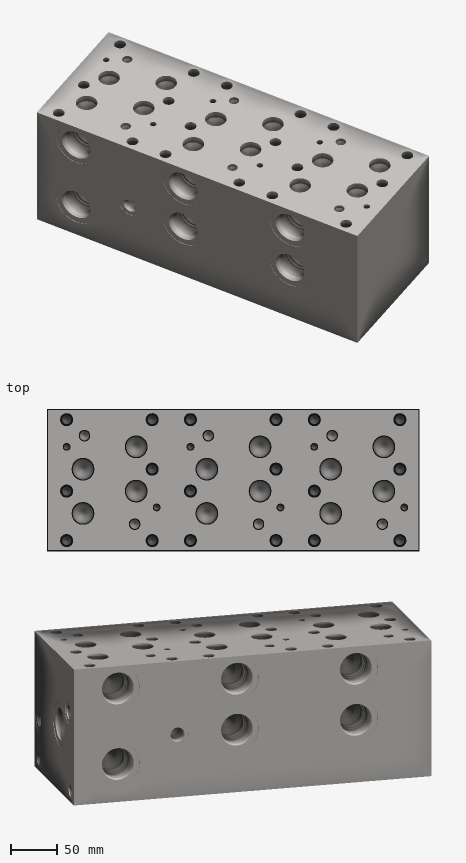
import cadquery as cq
import math

LENGTH = 400.0
WIDTH = 152.5
HEIGHT = 152.5

POINT_ANGLE = 118.0

STATIONS = 3
STATION_PITCH = 133.2
BOLT_SPAN_X = 92.0
FIRST_BOLT_X = (LENGTH - (STATIONS - 1) * STATION_PITCH - BOLT_SPAN_X) / 2
BOLT_SPAN_Y = 130.0
FIRST_BOLT_Y = (WIDTH - BOLT_SPAN_Y) / 2
INNER_NEAR_Y = 53.2
INNER_FAR_Y = BOLT_SPAN_Y - INNER_NEAR_Y
BOLT_OFFSETS = [
    (0, 0),
    (0, INNER_NEAR_Y),
    (0, BOLT_SPAN_Y),
    (BOLT_SPAN_X, 0),
    (BOLT_SPAN_X, INNER_FAR_Y),
    (BOLT_SPAN_X, BOLT_SPAN_Y),
]
FLOW_DIAMETER = 23.2
FLOW_DEPTH = 7.5
FLOW_OFFSETS = [(17.5, 29.2), (17.5, INNER_FAR_Y), (75.0, INNER_NEAR_Y), (75.0, 101.0)]
PILOT_DIAMETER = 11.2
PILOT_DEPTH = 3.5
PILOT_OFFSETS = [(19.2, 113.0), (73.2, 17.5)]
PIN_DIAMETER = 7.2
PIN_DEPTH = 8.0
PIN_OFFSETS = [(0, 101.0), (97.0, 35.5)]

BOLT_THREAD_DIAMETER = 13.0
BOLT_CORE_DIAMETER = 11.0
BOLT_THREAD_DEPTH = 24.0
BOLT_CORE_DEPTH = 28.0
END_BOLT_Z = 13.0
END_BOLT_YS = [14.0, 138.0]

SPOTFACE_DEPTH = 0.5
LARGE_SPOTFACE = 49.2
LARGE_SEAT = 35.5
LARGE_THREAD = 33.2
LARGE_CORE = 31.2
LARGE_DRILL = 28.5
LARGE_SEAT_DEPTH = 3.5
LARGE_THREAD_DEPTH = 20.0
LARGE_CORE_DEPTH = 23.2
LARGE_DRILL_DEPTH = 32.0
TAPER_DIAMETER = 17.0
TAPER_ANGLE = 32.0

SMALL_SPOTFACE = 25.2
SMALL_SEAT = 15.5
SMALL_THREAD = 14.5
SMALL_DRILL = 12.5
SMALL_SEAT_DEPTH = 3.0
SMALL_THREAD_DEPTH = 13.0
SMALL_DRILL_DEPTH = 20.0

FIRST_PORT_X = 49.2
PORT_XS = [FIRST_PORT_X + i * STATION_PITCH for i in range(STATIONS)]
UPPER_PORT_Z = 127.2
MIDDLE_PORT_Z = 70.0
LOWER_PORT_Z = 42.5
GAUGE_PORT_X = 116.0
PRESSURE_PORT = (55.5, 76.0)
PILOT_PORTS = [(22.5, 99.0), (136.5, 57.2)]


def point_length(diameter, angle=POINT_ANGLE):
    """Length of a conical point from its diameter and included angle."""
    return diameter / 2 / math.tan(math.radians(angle / 2))


def bore(profile, end_angle=POINT_ANGLE):
    """Revolved cutter from (diameter, depth) corners, closed by a conical point."""
    last_diameter, last_depth = profile[-1]
    corners = [(diameter / 2, depth) for diameter, depth in profile]
    tip = (0, last_depth + point_length(last_diameter, end_angle))
    outline = cq.Workplane("XZ").polyline([(0, 0)] + corners + [tip]).close()
    return outline.revolve(360, (0, 0), (0, 1)).val()


def drilled(diameter, depth):
    return bore([(diameter, 0), (diameter, depth)])


def tapped_hole():
    return bore([
        (BOLT_THREAD_DIAMETER, 0),
        (BOLT_THREAD_DIAMETER, BOLT_THREAD_DEPTH),
        (BOLT_CORE_DIAMETER, BOLT_THREAD_DEPTH),
        (BOLT_CORE_DIAMETER, BOLT_CORE_DEPTH),
    ])


def large_port(with_taper):
    profile = [
        (LARGE_SPOTFACE, 0),
        (LARGE_SPOTFACE, SPOTFACE_DEPTH),
        (LARGE_SEAT, SPOTFACE_DEPTH),
        (LARGE_THREAD, LARGE_SEAT_DEPTH),
        (LARGE_THREAD, LARGE_THREAD_DEPTH),
        (LARGE_CORE, LARGE_THREAD_DEPTH),
        (LARGE_CORE, LARGE_CORE_DEPTH),
        (LARGE_DRILL, LARGE_CORE_DEPTH),
        (LARGE_DRILL, LARGE_DRILL_DEPTH),
    ]
    if with_taper:
        taper_start = LARGE_DRILL_DEPTH + point_length(LARGE_DRILL - TAPER_DIAMETER)
        profile.append((TAPER_DIAMETER, taper_start))
        return bore(profile, TAPER_ANGLE)
    return bore(profile)


def small_port():
    return bore([
        (SMALL_SPOTFACE, 0),
        (SMALL_SPOTFACE, SPOTFACE_DEPTH),
        (SMALL_SEAT, SPOTFACE_DEPTH),
        (SMALL_THREAD, SMALL_SEAT_DEPTH),
        (SMALL_THREAD, SMALL_THREAD_DEPTH),
        (SMALL_DRILL, SMALL_THREAD_DEPTH),
        (SMALL_DRILL, SMALL_DRILL_DEPTH),
    ])


def into_face(cutter, origin, inward):
    """Place a cutter with its mouth at origin, pointing along inward."""
    return cutter.moved(cq.Location(cq.Plane(origin=origin, normal=inward)))


def into_top(cutter, x, y):
    return into_face(cutter, (x, y, HEIGHT), (0, 0, -1))


def into_front(cutter, x, z):
    return into_face(cutter, (x, 0, z), (0, 1, 0))


def into_left_end(cutter, y, z):
    return into_face(cutter, (0, y, z), (1, 0, 0))


def top_cutters():
    hole_kinds = [
        (tapped_hole(), BOLT_OFFSETS),
        (drilled(FLOW_DIAMETER, FLOW_DEPTH), FLOW_OFFSETS),
        (drilled(PILOT_DIAMETER, PILOT_DEPTH), PILOT_OFFSETS),
        (drilled(PIN_DIAMETER, PIN_DEPTH), PIN_OFFSETS),
    ]
    return [
        into_top(cutter, FIRST_BOLT_X + station * STATION_PITCH + dx, FIRST_BOLT_Y + dy)
        for station in range(STATIONS)
        for cutter, offsets in hole_kinds
        for dx, dy in offsets
    ]


def front_cutters():
    tapered = large_port(with_taper=True)
    cutters = [
        into_front(large_port(with_taper=False), PORT_XS[0], UPPER_PORT_Z),
        into_front(tapered, PORT_XS[0], LOWER_PORT_Z),
        into_front(small_port(), GAUGE_PORT_X, MIDDLE_PORT_Z),
    ]
    for x in PORT_XS[1:]:
        cutters.append(into_front(tapered, x, UPPER_PORT_Z))
        cutters.append(into_front(tapered, x, MIDDLE_PORT_Z))
    return cutters


def left_end_cutters():
    cutters = [into_left_end(large_port(with_taper=False), *PRESSURE_PORT)]
    cutters += [into_left_end(small_port(), y, z) for y, z in PILOT_PORTS]
    cutters += [into_left_end(tapped_hole(), y, END_BOLT_Z) for y in END_BOLT_YS]
    return cutters


block = cq.Workplane("XY").box(LENGTH, WIDTH, HEIGHT, centered=False)
cutters = top_cutters() + front_cutters() + left_end_cutters()
result = cq.Workplane(block.val().cut(*cutters))